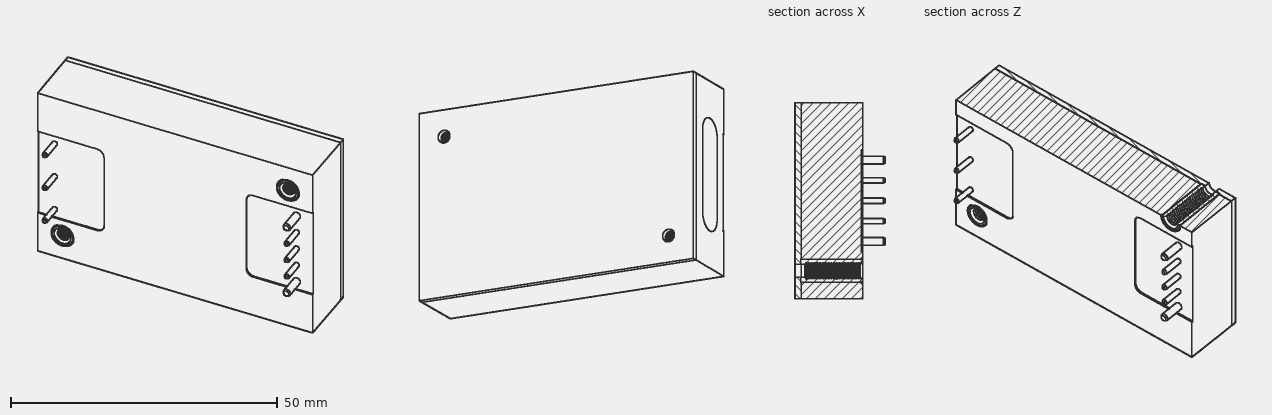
import cadquery as cq

LENGTH = 57.9
HEIGHT = 36.8
BODY_DEPTH = 12.75
PLATE_THICKNESS = 1.15
PIN_LENGTH = 4.15
HOUSING_DEPTH = BODY_DEPTH - PLATE_THICKNESS
SIDE_TAPER = 0.065

RECESS_WIDTH = 14.0
RECESS_HEIGHT = 19.0
RECESS_DEPTH = 0.3
RECESS_RADIUS = 1.5

PIN_X = 25.4
PIN_PITCH = 3.8
SIGNAL_PIN_RADIUS = 0.5
POWER_PIN_RADIUS = 0.75
PIN_TIP_LENGTH = 0.35
PIN_TIP_INSET = 0.2
PINS = [
    (-1, -2, SIGNAL_PIN_RADIUS),
    (-1, 0, SIGNAL_PIN_RADIUS),
    (-1, 2, SIGNAL_PIN_RADIUS),
    (1, -2, POWER_PIN_RADIUS),
    (1, -1, SIGNAL_PIN_RADIUS),
    (1, 0, SIGNAL_PIN_RADIUS),
    (1, 1, SIGNAL_PIN_RADIUS),
    (1, 2, POWER_PIN_RADIUS),
]

INSERT_X = 23.7
INSERT_Z = 13.15
INSERT_POSITIONS = [(INSERT_X, INSERT_Z), (-INSERT_X, -INSERT_Z)]
INSERT_RADIUS = 2.15
BORE_RADIUS = 1.2
COUNTERSINK_RADIUS = 1.75
COUNTERSINK_DEPTH = 0.45
THREAD_PITCH = 0.5
THREAD_DEPTH = 0.3
THREAD_COUNT = 20
RELIEF_RADIUS = 2.4
RELIEF_DEPTH = 0.3

INLAY_LENGTH = 22.2
INLAY_WIDTH = 6.0
INLAY_THICKNESS = 0.3
INLAY_Y = 5.85


def cylinder_along_y(radius, front, back, x, z):
    """Cylinder from Y = front to Y = back."""
    return cq.Workplane("XZ", origin=(x, front, z)).circle(radius).extrude(front - back)


def make_envelope():
    """Solid block of the housing, narrowing slightly toward the front."""
    half_back = LENGTH / 2
    half_front = half_back - SIDE_TAPER
    outline = [
        (-half_front, 0),
        (half_front, 0),
        (half_back, HOUSING_DEPTH),
        (-half_back, HOUSING_DEPTH),
    ]
    return (
        cq.Workplane("XY", origin=(0, 0, -HEIGHT / 2))
        .polyline(outline)
        .close()
        .extrude(HEIGHT)
    )


def make_inlay(envelope):
    """Obround plate whose outer face follows the sloping -X side."""
    obround = (
        cq.Workplane("YZ", origin=(-LENGTH / 2, INLAY_Y, 0))
        .slot2D(INLAY_LENGTH, INLAY_WIDTH, 90)
        .extrude(LENGTH / 2)
    )
    core = envelope.translate((INLAY_THICKNESS, 0, 0))
    return obround.intersect(envelope).cut(core)


def make_recess(side):
    """Cutter for one pin recess; it runs past the X side so only the inner corners are round."""
    width = 2 * RECESS_WIDTH
    return (
        cq.Workplane("XY")
        .box(width, RECESS_DEPTH, RECESS_HEIGHT, centered=(True, False, True))
        .edges("|Y")
        .fillet(RECESS_RADIUS)
        .translate((side * LENGTH / 2, 0, 0))
    )


def make_pin(side, row, radius):
    """Pin from the recess floor to a chamfered tip."""
    tip = -PIN_LENGTH
    pin = cylinder_along_y(radius, tip, RECESS_DEPTH, side * PIN_X, row * PIN_PITCH)
    return pin.faces("<Y").chamfer(PIN_TIP_LENGTH, PIN_TIP_INSET)


def make_housing(envelope, inlay):
    """Housing with the terminal pins molded in one piece with it."""
    housing = envelope.cut(inlay)
    for side in (-1, 1):
        housing = housing.cut(make_recess(side))
    for x, z in INSERT_POSITIONS:
        housing = housing.cut(cylinder_along_y(INSERT_RADIUS, 0, HOUSING_DEPTH, x, z))
        housing = housing.cut(cylinder_along_y(RELIEF_RADIUS, 0, RELIEF_DEPTH, x, z))
    for side, row, radius in PINS:
        housing = housing.union(make_pin(side, row, radius))
    return housing


def make_plate():
    """Mounting plate with a through hole behind each insert."""
    plate = cq.Workplane("XY", origin=(0, HOUSING_DEPTH, 0)).box(
        LENGTH, PLATE_THICKNESS, HEIGHT, centered=(True, False, True)
    )
    for x, z in INSERT_POSITIONS:
        plate = plate.cut(cylinder_along_y(BORE_RADIUS, HOUSING_DEPTH, BODY_DEPTH, x, z))
    return plate


def make_insert(x, z):
    """Sleeve with a countersunk bore; its thread is a row of V-shaped ring grooves."""
    profile = (
        cq.Workplane("XY")
        .moveTo(COUNTERSINK_RADIUS, 0)
        .lineTo(INSERT_RADIUS, 0)
        .lineTo(INSERT_RADIUS, HOUSING_DEPTH)
        .lineTo(BORE_RADIUS, HOUSING_DEPTH)
    )
    for groove in reversed(range(THREAD_COUNT)):
        front = COUNTERSINK_DEPTH + groove * THREAD_PITCH
        profile = (
            profile.lineTo(BORE_RADIUS, front + THREAD_PITCH)
            .lineTo(BORE_RADIUS + THREAD_DEPTH, front + THREAD_PITCH / 2)
        )
    profile = profile.lineTo(BORE_RADIUS, COUNTERSINK_DEPTH).close()
    return profile.revolve(360, (0, 0), (0, 1)).translate((x, 0, z))


envelope = make_envelope()
inlay = make_inlay(envelope)
housing = make_housing(envelope, inlay)
plate = make_plate()
inserts = [make_insert(x, z) for x, z in INSERT_POSITIONS]

result = cq.Compound.makeCompound(
    [housing.val(), plate.val(), inlay.val(), *[insert.val() for insert in inserts]]
)